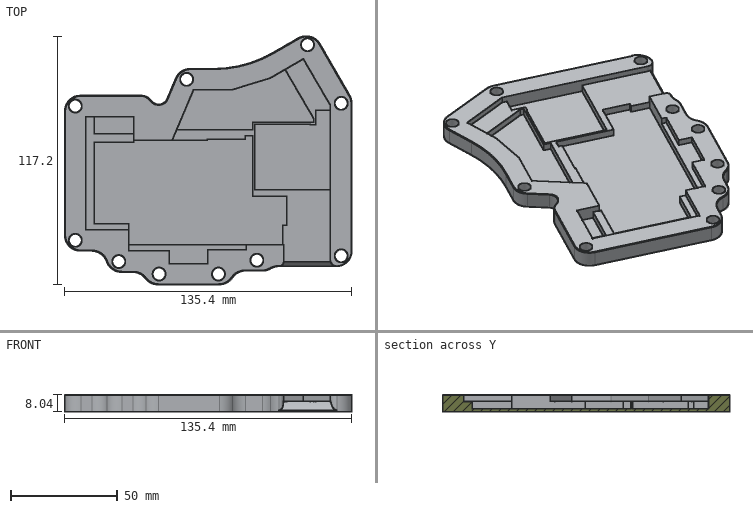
import cadquery as cq
import math

LENGTH = 135.37
WIDTH = 117.18
THICKNESS = 8.04
TOP_EDGE_CHAMFER = 0.3

FLOOR_Z = 1.5
SHELF_Z = 5.0
LIP_Z = 0.8

CORNER_RADIUS = 7.5
VALLEY_RADIUS = 4.3
VALLEY_SHOULDER_RADIUS = 5.5
SWEEP_RADIUS = 56.0
LEFT_BOTTOM_Y = 15.9
LEFT_TOP_Y = 89.2
STEP_LEFT_Y = 5.9
STEP_RIGHT_Y = 6.5
RIGHT_BOTTOM_Y = 8.6
UPPER_EDGE_Y = 101.8
SLANT_ANGLE = math.radians(30)

PEAK_X = 116.6
PEAK_Y = WIDTH + CORNER_RADIUS * (math.cos(SLANT_ANGLE) + math.sin(SLANT_ANGLE) - 1)
SWEEP_X = PEAK_X - (PEAK_Y - UPPER_EDGE_Y) / math.tan(SLANT_ANGLE)
RIGHT_TOP_Y = PEAK_Y - (LENGTH - PEAK_X) / math.tan(SLANT_ANGLE)


def step_corners(middle_x, start_y, end_y):
    """Sharp corners of an S-shaped step whose two equal arcs meet at middle_x."""
    height = abs(end_y - start_y)
    slope_angle = math.acos(1 - height / (2 * CORNER_RADIUS))
    half_width = height / 2 / math.tan(slope_angle)
    return [
        (middle_x - half_width, start_y, CORNER_RADIUS),
        (middle_x + half_width, end_y, CORNER_RADIUS),
    ]


OUTLINE = [
    (0, LEFT_BOTTOM_Y, CORNER_RADIUS),
    *step_corners(19.8, LEFT_BOTTOM_Y, STEP_LEFT_Y),
    *step_corners(38.1, STEP_LEFT_Y, 0),
    *step_corners(78.95, 0, STEP_RIGHT_Y),
    *step_corners(97.0, STEP_RIGHT_Y, RIGHT_BOTTOM_Y),
    (LENGTH, RIGHT_BOTTOM_Y, CORNER_RADIUS),
    (LENGTH, RIGHT_TOP_Y, CORNER_RADIUS),
    (PEAK_X, PEAK_Y, CORNER_RADIUS),
    (SWEEP_X, UPPER_EDGE_Y, SWEEP_RADIUS),
    (54.3, UPPER_EDGE_Y, CORNER_RADIUS),
    (45.8, 81.7, VALLEY_RADIUS),
    (38.3, LEFT_TOP_Y, VALLEY_SHOULDER_RADIUS),
    (0, LEFT_TOP_Y, CORNER_RADIUS),
]
SHORTEST_LINE = 1e-4

HOLE_DIAMETER = 6.0
HOLE_EDGE = 5.0
RIGHT_HOLE_X = LENGTH - HOLE_EDGE
HOLES = [
    (HOLE_EDGE, LEFT_TOP_Y - HOLE_EDGE),
    (HOLE_EDGE, LEFT_BOTTOM_Y + HOLE_EDGE),
    (25.5, STEP_LEFT_Y + HOLE_EDGE),
    (44.5, HOLE_EDGE),
    (72.5, HOLE_EDGE),
    (90.6, STEP_RIGHT_Y + HOLE_EDGE),
    (RIGHT_HOLE_X, RIGHT_BOTTOM_Y + HOLE_EDGE),
    (RIGHT_HOLE_X, 85.5),
    (114.5, 113.1),
    (57.5, UPPER_EDGE_Y - HOLE_EDGE),
]

CAVITY_LEFT_X = 10.0
CAVITY_RIGHT_X = 125.2
RECESS_TOP_Y = 79.2
RECESS_LEFT_X = 14.0
RECESS_RIGHT_X = 32.6
RECESS_BOTTOM_Y = 71.2
BOARD_TOP_Y = 68.1
BOARD_BOTTOM_Y = 18.7
LEDGE_LEFT_X = 30.3
BOARD_RIGHT_X = 88.6
OPENING_LEFT_X = 103.2
FAN_LEFT_X = 60.8
FAN_TOP_Y = 92.0
FAN_SIDE_SLOPE = 2.36
FAN_BOTTOM_Y = 73.0
RIDGE_TOP_Y = 76.5
RIDGE_BOTTOM_Y = 75.6
RIDGE_END_BOTTOM_Y = 75.3
BATTERY_LEFT_X = 89.5
LEDGE_RIGHT_X = 85.5
LEDGE_LEFT_Y = 16.0
LEDGE_RIGHT_Y = 16.4
NOTCH_LEFT_X = 49.4
NOTCH_RIGHT_X = 67.4
NOTCH_BOTTOM_Y = 9.9
FAN_FLAT_END_X = 79.3
CAVITY_PEAK = (112.5, 106.4)


def fan_side_x(y):
    """X of the slanted left wall of the fan pocket at height y."""
    return FAN_LEFT_X - (FAN_TOP_Y - y) / FAN_SIDE_SLOPE


def upper_wall_point(x):
    """Point at x on the cavity wall that runs parallel to the slanted upper edge."""
    peak_x, peak_y = CAVITY_PEAK
    return (x, peak_y - (peak_x - x) * math.tan(SLANT_ANGLE))


FAN_BEND = upper_wall_point(96.8)
FAN_SPLIT = upper_wall_point(103.9)

CAVITY = [
    (CAVITY_LEFT_X, RECESS_TOP_Y),
    (RECESS_RIGHT_X, RECESS_TOP_Y),
    (RECESS_RIGHT_X, BOARD_TOP_Y),
    (fan_side_x(BOARD_TOP_Y), BOARD_TOP_Y),
    (FAN_LEFT_X, FAN_TOP_Y),
    (FAN_FLAT_END_X, FAN_TOP_Y),
    FAN_BEND,
    CAVITY_PEAK,
    (CAVITY_RIGHT_X, 84.6),
    (CAVITY_RIGHT_X, BOARD_BOTTOM_Y),
    (LEDGE_RIGHT_X, BOARD_BOTTOM_Y),
    (LEDGE_RIGHT_X, LEDGE_RIGHT_Y),
    (NOTCH_RIGHT_X, LEDGE_RIGHT_Y),
    (NOTCH_RIGHT_X, NOTCH_BOTTOM_Y),
    (NOTCH_LEFT_X, NOTCH_BOTTOM_Y),
    (NOTCH_LEFT_X, LEDGE_LEFT_Y),
    (LEDGE_LEFT_X, LEDGE_LEFT_Y),
    (LEDGE_LEFT_X, 25.8),
    (CAVITY_LEFT_X, 25.8),
]

BOARD_POCKET = [
    (RECESS_LEFT_X, 67.2),
    (RECESS_RIGHT_X, 67.2),
    (RECESS_RIGHT_X, BOARD_TOP_Y),
    (67.1, BOARD_TOP_Y),
    (67.1, 68.5),
    (85.1, 68.5),
    (85.1, 70.3),
    (BOARD_RIGHT_X, 70.3),
    (BOARD_RIGHT_X, 41.6),
    (104.6, 41.6),
    (104.6, 28.0),
    (102.8, 28.0),
    (102.8, BOARD_BOTTOM_Y),
    (LEDGE_LEFT_X, BOARD_BOTTOM_Y),
    (LEDGE_LEFT_X, 28.8),
    (RECESS_LEFT_X, 28.8),
]

FAN_POCKET = [
    (FAN_LEFT_X, FAN_TOP_Y),
    (FAN_FLAT_END_X, FAN_TOP_Y),
    FAN_BEND,
    FAN_SPLIT,
    (117.4, 78.3),
    (117.4, RIDGE_TOP_Y),
    (BOARD_RIGHT_X, RIDGE_TOP_Y),
    (BOARD_RIGHT_X, FAN_BOTTOM_Y),
    (fan_side_x(FAN_BOTTOM_Y), FAN_BOTTOM_Y),
]

BATTERY_POCKET = [
    (BATTERY_LEFT_X, RIDGE_BOTTOM_Y),
    (115.8, RIDGE_BOTTOM_Y),
    (115.8, RIDGE_END_BOTTOM_Y),
    (118.3, RIDGE_END_BOTTOM_Y),
    (118.3, 82.2),
    (CAVITY_RIGHT_X, 82.2),
    (CAVITY_RIGHT_X, 44.7),
    (BATTERY_LEFT_X, 44.7),
]

RECESS = [
    (RECESS_LEFT_X, RECESS_TOP_Y),
    (RECESS_RIGHT_X, RECESS_TOP_Y),
    (RECESS_RIGHT_X, RECESS_BOTTOM_Y),
    (RECESS_LEFT_X, RECESS_BOTTOM_Y),
]

FLARE_LEFT_RADIUS = 2.2
FLARE_RIGHT_RADIUS = 3.3
RAMP_RUN = 2.1
RAMP_RADIUS = 30.0
OPENING_MARGIN = 2.0


def rounded_outline(corners):
    """Closed wire through sharp corners (x, y, radius), each rounded by a tangent arc."""
    path = cq.Workplane("XY")
    for i, (x, y, radius) in enumerate(corners):
        corner = cq.Vector(x, y)
        before = cq.Vector(*corners[i - 1][:2])
        after = cq.Vector(*corners[(i + 1) % len(corners)][:2])
        to_before = (before - corner).normalized()
        to_after = (after - corner).normalized()
        half_angle = to_before.getAngle(to_after) / 2
        tangent = radius / math.tan(half_angle)
        to_arc = radius / math.sin(half_angle) - radius
        start = corner + to_before * tangent
        middle = corner + (to_before + to_after).normalized() * to_arc
        end = corner + to_after * tangent
        if i == 0:
            path = path.moveTo(start.x, start.y)
        elif (start - previous_end).Length > SHORTEST_LINE:
            path = path.lineTo(start.x, start.y)
        path = path.threePointArc((middle.x, middle.y), (end.x, end.y))
        previous_end = end
    return path.close()


def make_plate():
    """Plate with a chamfered top edge, except around the lower right corner."""
    sharp_plate = rounded_outline(OUTLINE).extrude(THICKNESS)
    chamfered_plate = sharp_plate.faces(">Z").edges().chamfer(TOP_EDGE_CHAMFER)
    corner_block = (
        cq.Workplane("XY")
        .box(CORNER_RADIUS, CORNER_RADIUS, THICKNESS, centered=False)
        .translate((LENGTH - CORNER_RADIUS, RIGHT_BOTTOM_Y, 0))
    )
    return chamfered_plate.union(sharp_plate.intersect(corner_block))


def pocket(points, floor_z):
    """Cutter with the given outline from floor_z up to the top face."""
    outline = cq.Workplane("XY").workplane(offset=floor_z).polyline(points).close()
    return outline.extrude(THICKNESS - floor_z)


def side_opening():
    """Cutter for the opening in the lower edge: flared ends above a sloping ramp."""
    edge_y = RIGHT_BOTTOM_Y
    flared = (
        cq.Workplane("XY")
        .workplane(offset=LIP_Z)
        .moveTo(OPENING_LEFT_X, BOARD_BOTTOM_Y)
        .lineTo(OPENING_LEFT_X, edge_y + FLARE_LEFT_RADIUS)
        .radiusArc((OPENING_LEFT_X - FLARE_LEFT_RADIUS, edge_y), FLARE_LEFT_RADIUS)
        .lineTo(OPENING_LEFT_X - FLARE_LEFT_RADIUS, edge_y - OPENING_MARGIN)
        .lineTo(CAVITY_RIGHT_X + FLARE_RIGHT_RADIUS, edge_y - OPENING_MARGIN)
        .lineTo(CAVITY_RIGHT_X + FLARE_RIGHT_RADIUS, edge_y)
        .radiusArc((CAVITY_RIGHT_X, edge_y + FLARE_RIGHT_RADIUS), FLARE_RIGHT_RADIUS)
        .lineTo(CAVITY_RIGHT_X, BOARD_BOTTOM_Y)
        .close()
        .extrude(THICKNESS - LIP_Z)
    )
    ramp = (
        cq.Workplane("YZ")
        .moveTo(edge_y, LIP_Z)
        .radiusArc((edge_y + RAMP_RUN, SHELF_Z), -RAMP_RADIUS)
        .lineTo(BOARD_BOTTOM_Y, SHELF_Z)
        .lineTo(BOARD_BOTTOM_Y, LIP_Z)
        .close()
        .extrude(LENGTH)
    )
    return flared.cut(ramp)


def screw_holes():
    return cq.Workplane("XY").pushPoints(HOLES).circle(HOLE_DIAMETER / 2).extrude(THICKNESS)


result = make_plate().cut(screw_holes()).cut(pocket(CAVITY, SHELF_Z))
for pocket_outline in (BOARD_POCKET, FAN_POCKET, BATTERY_POCKET, RECESS):
    result = result.cut(pocket(pocket_outline, FLOOR_Z))
result = result.cut(side_opening())